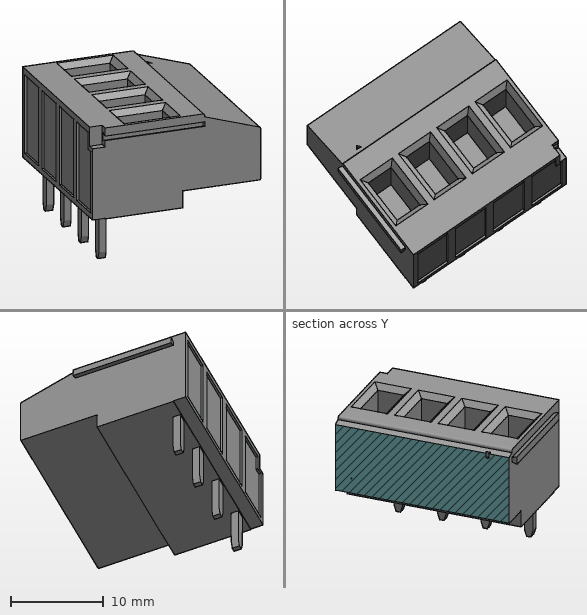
import cadquery as cq

POLES = 4
PITCH = 5.08
WIDTH = POLES * PITCH
DEPTH = 19.5
HEIGHT = 10.5

PLATE_THICK = 1.45
PLATE_LIFT = 0.08
FOOT_BACK_Y = 10.45
SHOULDER_Z = 1.95
CREST_Y = 13.01
CREST_SLOPE_Z = HEIGHT - 0.37
BACK_TOP_Z = 8.0
EDGE_FILLET = 0.29
BOTTOM_FILLET = 0.2

RAIL_REACH = 0.6
RAIL_TIP_HEIGHT = 0.9
RAIL_ROOT_HEIGHT = 0.52
RAIL_MID_Z = HEIGHT - 1.2

NOTCH_WIDTH = 0.86
NOTCH_HEIGHT = 2.2

PANEL_DEPTH = 0.25
PANEL_GAP = 1.0
PANEL_SIDE_MARGIN = 0.6
PANEL_TOP_Z = HEIGHT - 0.75
PANEL_BOTTOM_Z = 0.72
NOTCH_WALL = 0.5

WELL_WIDTH = 4.26
WELL_FRONT_Y = 3.8
WELL_BACK_Y = 10.32
WELL_CHAMFER = 0.62
WELL_LEAD_IN_ANGLE = 45
WELL_DEPTH = 6.0

PIN_WIDTH = 1.0
PIN_THICK = 0.85
PIN_FRONT_Y = 1.55
PIN_LENGTH = 5.4
PIN_TIP_WIDTH = 0.5
PIN_TIP_LENGTH = 0.78

MARK_WIDTH = 0.55
MARK_LENGTH = 0.45
MARK_FRONT_Y = 13.5
MARK_DEPTH = 0.5


def pole_x(index):
    return (index + 0.5) * PITCH


def block(x0, x1, y0, y1, z0, z1):
    return cq.Workplane("XY").box(x1 - x0, y1 - y0, z1 - z0, centered=False).translate((x0, y0, z0))


def make_body():
    profile = [
        (PLATE_THICK, 0),
        (FOOT_BACK_Y, 0),
        (FOOT_BACK_Y, SHOULDER_Z),
        (DEPTH, SHOULDER_Z),
        (DEPTH, BACK_TOP_Z),
        (CREST_Y, CREST_SLOPE_Z),
        (CREST_Y, HEIGHT),
        (0, HEIGHT),
        (0, PLATE_LIFT),
        (PLATE_THICK, PLATE_LIFT),
    ]
    body = cq.Workplane("YZ").polyline(profile).close().extrude(WIDTH)
    upper_edges = [(CREST_Y, HEIGHT), (DEPTH, BACK_TOP_Z)]
    for y, z in upper_edges:
        body = body.edges(cq.selectors.NearestToPointSelector((WIDTH / 2, y, z))).fillet(EDGE_FILLET)
    lower_edge = cq.selectors.NearestToPointSelector((WIDTH / 2, DEPTH, SHOULDER_Z))
    return body.edges(lower_edge).fillet(BOTTOM_FILLET)


def make_dovetail(root_x):
    """Bar along Y that widens from its root towards -X."""
    tip_x = root_x - RAIL_REACH
    section = [
        (root_x, RAIL_MID_Z - RAIL_ROOT_HEIGHT / 2),
        (root_x, RAIL_MID_Z + RAIL_ROOT_HEIGHT / 2),
        (tip_x, RAIL_MID_Z + RAIL_TIP_HEIGHT / 2),
        (tip_x, RAIL_MID_Z - RAIL_TIP_HEIGHT / 2),
    ]
    bar = cq.Workplane("XZ").polyline(section).close().extrude(-(CREST_Y - PLATE_THICK))
    return bar.translate((0, PLATE_THICK, 0))


def make_notch(wall, depth):
    """Upper right front corner block, grown by a wall to the left and below."""
    return block(WIDTH - NOTCH_WIDTH - wall, WIDTH, 0, depth, HEIGHT - NOTCH_HEIGHT - wall, HEIGHT)


def make_panels():
    panels = cq.Workplane("XY")
    for index in range(POLES):
        left = max(index * PITCH + PANEL_GAP / 2, PANEL_SIDE_MARGIN)
        right = min((index + 1) * PITCH - PANEL_GAP / 2, WIDTH - PANEL_SIDE_MARGIN)
        panels = panels.add(block(left, right, 0, PANEL_DEPTH, PANEL_BOTTOM_Z, PANEL_TOP_Z))
    return panels.combine().cut(make_notch(NOTCH_WALL, PANEL_DEPTH))


def make_well(x):
    """Deep rectangular well with a sloping lead-in."""
    mid_y = (WELL_FRONT_Y + WELL_BACK_Y) / 2
    length = WELL_BACK_Y - WELL_FRONT_Y
    mouth = cq.Workplane("XY", origin=(x, mid_y, HEIGHT)).rect(WELL_WIDTH, length)
    lead_in = mouth.extrude(-WELL_CHAMFER, taper=WELL_LEAD_IN_ANGLE)
    shaft = cq.Workplane("XY", origin=(x, mid_y, HEIGHT - WELL_DEPTH))
    shaft = shaft.rect(WELL_WIDTH - 2 * WELL_CHAMFER, length - 2 * WELL_CHAMFER).extrude(WELL_DEPTH)
    return lead_in.union(shaft)


def make_pin(x):
    """Flat pin with a tapered tip, rooted inside the body."""
    root_z = SHOULDER_Z
    tip_z = -PIN_LENGTH
    outline = [
        (x - PIN_WIDTH / 2, root_z),
        (x + PIN_WIDTH / 2, root_z),
        (x + PIN_WIDTH / 2, tip_z + PIN_TIP_LENGTH),
        (x + PIN_TIP_WIDTH / 2, tip_z),
        (x - PIN_TIP_WIDTH / 2, tip_z),
        (x - PIN_WIDTH / 2, tip_z + PIN_TIP_LENGTH),
    ]
    pin = cq.Workplane("XZ").polyline(outline).close().extrude(-PIN_THICK)
    return pin.translate((0, PIN_FRONT_Y, 0))


def make_mark():
    """Triangle sunk upright into the sloping roof at the first pole."""
    x = pole_x(0)
    drop = (CREST_SLOPE_Z - BACK_TOP_Z) / (DEPTH - CREST_Y)
    floor_z = CREST_SLOPE_Z - drop * (MARK_FRONT_Y + MARK_LENGTH - CREST_Y) - MARK_DEPTH
    corners = [
        (x - MARK_WIDTH / 2, MARK_FRONT_Y),
        (x + MARK_WIDTH / 2, MARK_FRONT_Y),
        (x, MARK_FRONT_Y + MARK_LENGTH),
    ]
    return cq.Workplane("XY").polyline(corners).close().extrude(HEIGHT - floor_z).translate((0, 0, floor_z))


result = make_body().union(make_dovetail(0))
result = result.cut(make_dovetail(WIDTH))
result = result.cut(make_notch(0, PLATE_THICK)).cut(make_panels()).cut(make_mark())
for pole in range(POLES):
    result = result.cut(make_well(pole_x(pole))).union(make_pin(pole_x(pole)))